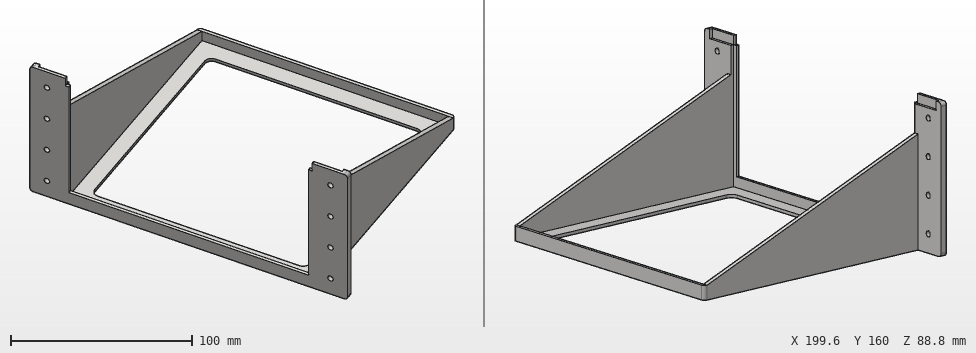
import cadquery as cq

width = 199.6
depth = 160.0
height = 88.8

ear_thickness = 4.0
front_skin = 2.0
ear_corner_radius = 2.2
rail_height = 8.2
lip_width = 2.2
notch_depth = 5.4
corner_post_width = 4.4
hole_diameter = 3.4
hole_edge_distance = 10.8
hole_count = 4
hole_pitch = 22.2

tray_width = 160.9
side_wall = 3.0
rear_wall = 2.2
floor_thickness = 2.0
rear_height = 8.5
side_front_height = 66.7
rear_corner_radius = 2.2
window_width = 135.1
window_depth = 135.7
window_front = 11.5
window_radius = 4.4

tray_inner_width = tray_width - 2 * side_wall
gap_width = tray_inner_width - 2 * lip_width
lip_top = height - notch_depth
rebate_width = width / 2 - corner_post_width - tray_inner_width / 2
rebate_center = (tray_inner_width + rebate_width) / 2
hole_x = width / 2 - hole_edge_distance


def block(size_x, size_y, size_z, x=0, y=0, z=0):
    """Box centred on x, starting at y and z."""
    return (
        cq.Workplane("XY")
        .box(size_x, size_y, size_z, centered=(True, False, False))
        .translate((x, y, z))
    )


def make_tray():
    """Tray with sloping side walls, a low rear wall and a windowed floor."""
    side_profile = [
        (front_skin, 0),
        (depth, 0),
        (depth, rear_height),
        (depth - rear_wall, rear_height),
        (ear_thickness, side_front_height),
        (front_skin, side_front_height),
    ]
    tray = (
        cq.Workplane("YZ")
        .polyline(side_profile)
        .close()
        .extrude(tray_width / 2, both=True)
        .edges("|Z and >Y")
        .fillet(rear_corner_radius)
    )
    cavity_depth = depth - rear_wall - front_skin
    tray = tray.cut(block(tray_inner_width, cavity_depth, height, y=front_skin, z=floor_thickness))
    window = (
        block(window_width, window_depth, floor_thickness, y=window_front)
        .edges("|Z")
        .fillet(window_radius)
    )
    return tray.cut(window)


def make_front():
    """Pair of thick ears joined by a thin rail, with thin lips along the gap."""
    front = (
        block(width, ear_thickness, height)
        .edges("|Y")
        .fillet(ear_corner_radius)
    )
    front = front.cut(block(gap_width, ear_thickness, height, z=rail_height))
    front = front.cut(block(tray_inner_width, ear_thickness, height, y=front_skin))
    front = front.cut(block(tray_inner_width, ear_thickness, notch_depth, z=lip_top))
    for side in (-1, 1):
        rebate = block(rebate_width, ear_thickness, notch_depth, side * rebate_center, front_skin, lip_top)
        front = front.cut(rebate)
    return front


def make_holes():
    """Row of mounting holes through each ear."""
    return (
        cq.Workplane("XZ")
        .center(0, height / 2)
        .rarray(2 * hole_x, hole_pitch, 2, hole_count)
        .circle(hole_diameter / 2)
        .extrude(-ear_thickness)
    )


result = make_tray().union(make_front()).cut(make_holes())